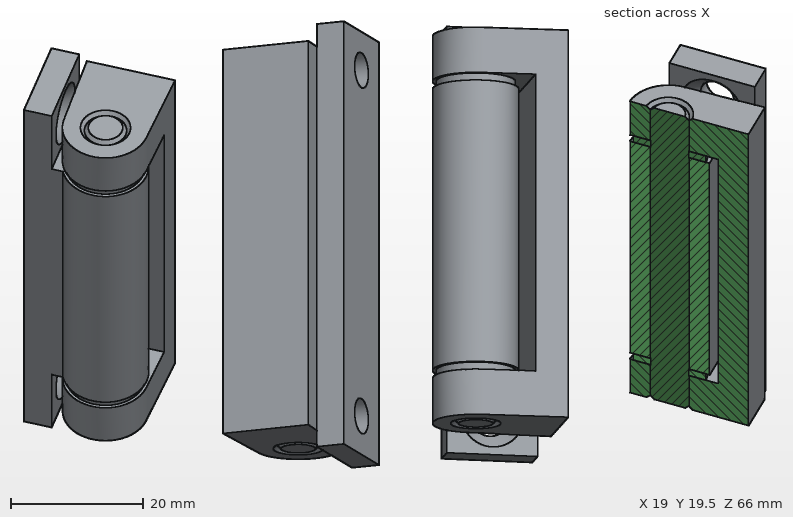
import cadquery as cq
import math


barrel_radius = 6.55
leaf_width = 14.0

plate_height = 66.0
plate_thickness = 4.4
plate_left_x = -12.0
plate_front_y = -3.0
barrel_height = 43.55
mount_hole_diameter = 5.4
mount_hole_end_distance = 6.0
mount_countersink_depth = 2.1

frame_height = 59.9
frame_back_y = 12.95
washer_thickness = 1.2
recess_back_y = 7.9

pin_diameter = 6.4
pin_chamfer = 0.6
countersink_depth = 0.6
washer_radius = 6.0

recess_height = barrel_height + 2 * washer_thickness


def cylinder_on_axis(radius, height):
    """Cylinder on the hinge axis, centred on Z = 0."""
    return cq.Workplane("XY").circle(radius).extrude(height / 2, both=True)


def make_barrel_leaf():
    """Plate joined to the barrel by a web that runs tangent to the barrel's back."""
    plate_right_x = plate_left_x + plate_thickness
    plate = cq.Workplane("XY").box(plate_thickness, leaf_width, plate_height, centered=(False, False, True))
    plate = plate.translate((plate_left_x, plate_front_y, 0))

    web = cq.Workplane("XY").box(
        -plate_right_x, barrel_radius - plate_front_y, barrel_height, centered=(False, False, True)
    )
    web = web.translate((plate_right_x, plate_front_y, 0))

    leaf = plate.union(web).union(cylinder_on_axis(barrel_radius, barrel_height))
    leaf = leaf.cut(cylinder_on_axis(pin_diameter / 2, barrel_height))

    hole_radius = mount_hole_diameter / 2
    hole_y = plate_front_y + leaf_width / 2
    hole_z = plate_height / 2 - mount_hole_end_distance
    for z in (-hole_z, hole_z):
        hole = cq.Workplane("YZ", origin=(plate_left_x, 0, 0)).center(hole_y, z)
        leaf = leaf.cut(hole.circle(hole_radius).extrude(plate_thickness))
        countersink = cq.Solid.makeCone(
            hole_radius + mount_countersink_depth,
            hole_radius,
            mount_countersink_depth,
            pnt=cq.Vector(plate_right_x, hole_y, z),
            dir=cq.Vector(-1, 0, 0),
        )
        leaf = leaf.cut(cq.Workplane(countersink))
    return leaf


def frame_outline():
    """Round nose with straight sides that leave it tangentially and widen to the back."""
    back_half_width = leaf_width / 2
    corner_distance = math.hypot(back_half_width, frame_back_y)
    corner_angle = math.atan2(frame_back_y, back_half_width)
    tangent_angle = corner_angle - math.acos(barrel_radius / corner_distance)
    tangent_x = barrel_radius * math.cos(tangent_angle)
    tangent_y = barrel_radius * math.sin(tangent_angle)
    return (
        cq.Workplane("XY", origin=(0, 0, -frame_height / 2))
        .moveTo(-back_half_width, frame_back_y)
        .lineTo(-tangent_x, tangent_y)
        .threePointArc((0, -barrel_radius), (tangent_x, tangent_y))
        .lineTo(back_half_width, frame_back_y)
        .close()
    )


def make_frame():
    """Back block and two knuckles, with a recess between them for barrel and washers."""
    frame = frame_outline().extrude(frame_height)
    recess = cq.Workplane("XY").box(
        2 * leaf_width, recess_back_y + 2 * barrel_radius, recess_height, centered=(True, False, True)
    )
    frame = frame.cut(recess.translate((0, -2 * barrel_radius, 0)))
    frame = frame.cut(cylinder_on_axis(pin_diameter / 2, frame_height))
    countersink_radius = pin_diameter / 2 + countersink_depth
    for end in (-1, 1):
        countersink = cq.Solid.makeCone(
            countersink_radius,
            pin_diameter / 2,
            countersink_depth,
            pnt=cq.Vector(0, 0, end * frame_height / 2),
            dir=cq.Vector(0, 0, -end),
        )
        frame = frame.cut(cq.Workplane(countersink))
    return frame


def make_pin():
    """Pin with chamfered ends, flush with the outer faces of the knuckles."""
    return cylinder_on_axis(pin_diameter / 2, frame_height).edges("%CIRCLE").chamfer(pin_chamfer)


def make_washer(bottom_z):
    """Ring that fills the gap between the barrel and one knuckle."""
    washer = cq.Workplane("XY", origin=(0, 0, bottom_z))
    return washer.circle(washer_radius).circle(pin_diameter / 2).extrude(washer_thickness)


barrel_leaf = make_barrel_leaf()
frame = make_frame()
pin = make_pin()
washers = [make_washer(bottom_z) for bottom_z in (-recess_height / 2, barrel_height / 2)]

result = cq.Compound.makeCompound(
    [barrel_leaf.val(), frame.val(), pin.val(), *[washer.val() for washer in washers]]
)